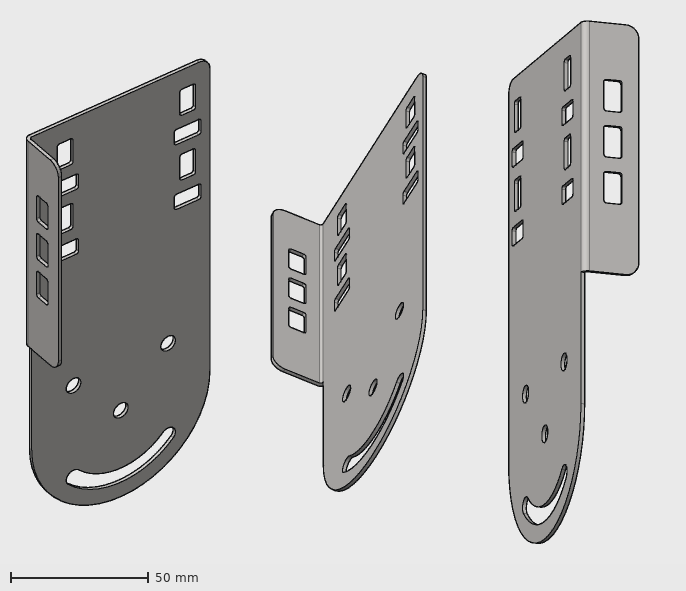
import cadquery as cq
import math

thickness = 1.5
inner_bend_radius = 1.0
outer_bend_radius = inner_bend_radius + thickness

plate_width = 80.0
plate_height = 185.0
corner_radius = 5.0
plate_near_edge = outer_bend_radius
plate_far_edge = plate_near_edge + plate_width
round_end_radius = plate_width / 2

flange_reach = 21.5
flange_height = 95.0
flange_bottom = plate_height - flange_height

pivot_y = plate_near_edge + round_end_radius
pivot_z = round_end_radius
hole_diameter = 6.5
pattern_radius = 30.0
pattern_angle = math.radians(45)

window_length = 12.0
window_width = 7.0
window_corner_radius = 1.0

plate_window_pitch = 15.0
plate_window_rows = 4
far_column_inset = 10.0
near_column_inset = 15.0
far_column_y = plate_far_edge - far_column_inset
near_column_y = plate_near_edge + near_column_inset

flange_window_inset = 10.0
flange_window_x = flange_reach - flange_window_inset
flange_window_pitch = 17.5
flange_window_count = 3
first_flange_window_depth = 27.5


def make_plate():
    """Flat plate with a fully rounded bottom and one rounded top corner."""
    plate = (
        cq.Workplane("YZ")
        .moveTo(plate_near_edge, plate_height)
        .lineTo(plate_near_edge, pivot_z)
        .threePointArc((pivot_y, 0), (plate_far_edge, pivot_z))
        .lineTo(plate_far_edge, plate_height)
        .close()
        .extrude(thickness)
    )
    return plate.edges("|X and >Y and >Z").fillet(corner_radius)


def make_bend():
    """Quarter-round bend joining the plate to the flange."""
    diagonal = math.sqrt(0.5)
    outer_mid = outer_bend_radius * (1 - diagonal)
    inner_mid = outer_bend_radius - inner_bend_radius * diagonal
    return (
        cq.Workplane("XY")
        .workplane(offset=flange_bottom)
        .moveTo(0, outer_bend_radius)
        .threePointArc((outer_mid, outer_mid), (outer_bend_radius, 0))
        .lineTo(outer_bend_radius, thickness)
        .threePointArc((inner_mid, inner_mid), (thickness, outer_bend_radius))
        .close()
        .extrude(flange_height)
    )


def make_flange():
    """Flat flange with both free corners rounded."""
    flange_length = flange_reach - outer_bend_radius
    flange = cq.Workplane("XY").box(flange_length, thickness, flange_height, centered=False)
    flange = flange.edges("|Y and >X").fillet(corner_radius)
    return flange.translate((outer_bend_radius, 0, flange_bottom))


def plate_window(y, z, upright):
    """Cutter for a rounded window through the plate, centred on (y, z)."""
    size_y = window_width if upright else window_length
    size_z = window_length if upright else window_width
    window = cq.Workplane("XY").box(thickness, size_y, size_z)
    return window.edges("|X").fillet(window_corner_radius).translate((thickness / 2, y, z))


def flange_window(x, z):
    """Cutter for an upright rounded window through the flange, centred on (x, z)."""
    window = cq.Workplane("XY").box(window_width, thickness, window_length)
    return window.edges("|Y").fillet(window_corner_radius).translate((x, thickness / 2, z))


def pivot_holes():
    """Cutter for the pivot hole and the two holes above it."""
    offset_y = pattern_radius * math.sin(pattern_angle)
    offset_z = pattern_radius * math.cos(pattern_angle)
    centres = [(0, 0), (-offset_y, offset_z), (offset_y, offset_z)]
    return (
        cq.Workplane("YZ", origin=(0, pivot_y, pivot_z))
        .pushPoints(centres)
        .circle(hole_diameter / 2)
        .extrude(thickness)
    )


def arc_slot():
    """Cutter for the curved slot below the pivot, with round ends."""
    half_width = hole_diameter / 2
    inner_radius = pattern_radius - half_width
    outer_radius = pattern_radius + half_width
    sine = math.sin(pattern_angle)
    cosine = math.cos(pattern_angle)
    end_y = pattern_radius * sine + half_width * cosine
    end_z = -pattern_radius * cosine + half_width * sine
    return (
        cq.Workplane("YZ", origin=(0, pivot_y, pivot_z))
        .moveTo(-inner_radius * sine, -inner_radius * cosine)
        .threePointArc((0, -inner_radius), (inner_radius * sine, -inner_radius * cosine))
        .threePointArc((end_y, end_z), (outer_radius * sine, -outer_radius * cosine))
        .threePointArc((0, -outer_radius), (-outer_radius * sine, -outer_radius * cosine))
        .threePointArc((-end_y, end_z), (-inner_radius * sine, -inner_radius * cosine))
        .close()
        .extrude(thickness)
    )


bracket = make_plate().union(make_bend()).union(make_flange())
bracket = bracket.cut(pivot_holes()).cut(arc_slot())

for row in range(plate_window_rows):
    row_z = plate_height - (row + 1) * plate_window_pitch
    for column_y in (near_column_y, far_column_y):
        bracket = bracket.cut(plate_window(column_y, row_z, upright=row % 2 == 0))

for index in range(flange_window_count):
    window_z = plate_height - first_flange_window_depth - index * flange_window_pitch
    bracket = bracket.cut(flange_window(flange_window_x, window_z))

result = bracket